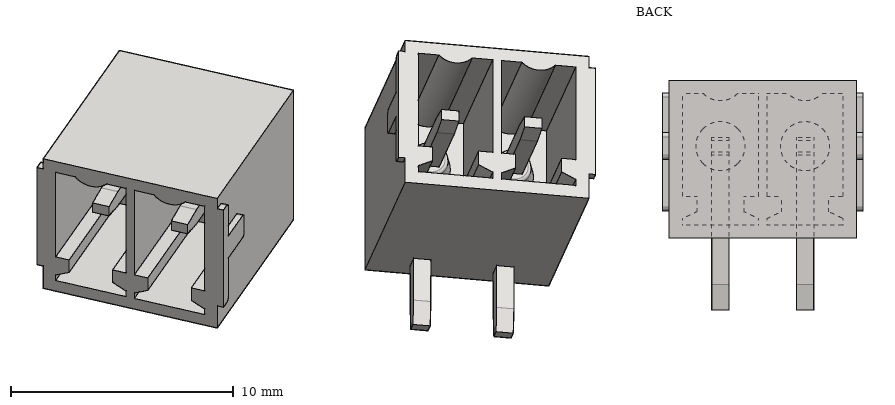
import cadquery as cq

BODY_WIDTH = 8.42
BODY_DEPTH = 9.2
BODY_HEIGHT = 7.08

POLE_COUNT = 2
PITCH = 3.8
AXIS_HEIGHT = 4.13

CAVITY_WIDTH = 3.4
CAVITY_WALL = 0.59
CAVITY_DEPTH = 6.7
ROOF_RIB_WIDTH = 1.53
ROOF_RIB_DROP = 0.32
RAIL_WIDTH = 0.65
RAIL_TOP = 1.29
RAIL_KINK = 0.61
RAIL_FOOT = 0.3

BOSS_BASE_RADIUS = 1.1
BOSS_SHOULDER_RADIUS = 0.83
BOSS_END_RADIUS = 0.67
BOSS_LENGTH = 0.98

FLANGE_THICKNESS = 0.3
FLANGE_TOP_GAP = 0.56
FLANGE_BOTTOM = 1.22
FLANGE_DEPTH = 0.6
TONGUE_DEPTH = 2.5
TONGUE_HEIGHT = 1.2
FLANGE_CORNER_RADIUS = 0.2

PIN_WIDTH = 0.79
PIN_HEIGHT = 0.78
LEG_THICKNESS = 0.82
LEG_BACK_GAP = 0.78
LEG_LENGTH = 3.22
LEG_TIP_THICKNESS = 0.53
LEG_TIP_LENGTH = 1.14
PIN_TIP_HEIGHT = 0.5
PIN_TIP_LENGTH = 1.06
PIN_TIP_SETBACK = 1.2

LEG_BACK = BODY_DEPTH - LEG_BACK_GAP
LEG_FRONT = LEG_BACK - LEG_THICKNESS
PIN_TOP = AXIS_HEIGHT + PIN_HEIGHT / 2
PIN_BOTTOM = AXIS_HEIGHT - PIN_HEIGHT / 2
POLE_POSITIONS = [(i - (POLE_COUNT - 1) / 2) * PITCH for i in range(POLE_COUNT)]


def make_cavity(x):
    """Keyed plug cavity, open at the mating face."""
    half = CAVITY_WIDTH / 2
    neck = half - RAIL_WIDTH
    rib = ROOF_RIB_WIDTH / 2
    floor = CAVITY_WALL
    roof = BODY_HEIGHT - CAVITY_WALL
    return (
        cq.Workplane("XZ")
        .moveTo(x - half, floor)
        .lineTo(x + half, floor)
        .lineTo(x + half, floor + RAIL_FOOT)
        .lineTo(x + neck, floor + RAIL_KINK)
        .lineTo(x + neck, floor + RAIL_TOP)
        .lineTo(x + half, floor + RAIL_TOP)
        .lineTo(x + half, roof)
        .lineTo(x + rib, roof)
        .threePointArc((x, roof - ROOF_RIB_DROP), (x - rib, roof))
        .lineTo(x - half, roof)
        .lineTo(x - half, floor + RAIL_TOP)
        .lineTo(x - neck, floor + RAIL_TOP)
        .lineTo(x - neck, floor + RAIL_KINK)
        .lineTo(x - half, floor + RAIL_FOOT)
        .close()
        .extrude(-CAVITY_DEPTH)
    )


def make_boss(x):
    """Conical boss with a rounded end, turned about the contact axis."""
    rounding = BOSS_SHOULDER_RADIUS - BOSS_END_RADIUS
    end = CAVITY_DEPTH - BOSS_LENGTH
    return (
        cq.Workplane("XY")
        .moveTo(0, CAVITY_DEPTH)
        .lineTo(BOSS_BASE_RADIUS, CAVITY_DEPTH)
        .lineTo(BOSS_SHOULDER_RADIUS, end + rounding)
        .radiusArc((BOSS_END_RADIUS, end), rounding)
        .lineTo(0, end)
        .close()
        .revolve(360, (0, 0), (0, 1))
        .translate((x, 0, AXIS_HEIGHT))
    )


def make_flanges():
    """T-shaped flange standing out from both sides of the block."""
    height = BODY_HEIGHT - FLANGE_TOP_GAP - FLANGE_BOTTOM
    width = BODY_WIDTH + 2 * FLANGE_THICKNESS
    bar = (
        cq.Workplane("XY")
        .box(width, FLANGE_DEPTH, height, centered=(True, False, False))
        .translate((0, 0, FLANGE_BOTTOM))
    )
    tongue = (
        cq.Workplane("XY")
        .box(width, TONGUE_DEPTH, TONGUE_HEIGHT, centered=(True, False, True))
        .translate((0, 0, AXIS_HEIGHT))
    )
    rounded_bar = bar.edges("|X and >Y").fillet(FLANGE_CORNER_RADIUS)
    rounded_tongue = tongue.edges("|X and >Y").fillet(FLANGE_CORNER_RADIUS)
    return rounded_bar.union(rounded_tongue)


def make_pin(x):
    """Right-angle contact pin, tapered at its plug end and at its solder end."""
    plug_taper = (PIN_HEIGHT - PIN_TIP_HEIGHT) / 2
    leg_taper = (LEG_THICKNESS - LEG_TIP_THICKNESS) / 2
    plug_shoulder = PIN_TIP_SETBACK + PIN_TIP_LENGTH
    leg_shoulder = LEG_TIP_LENGTH - LEG_LENGTH
    outline = [
        (PIN_TIP_SETBACK, PIN_TOP - plug_taper),
        (plug_shoulder, PIN_TOP),
        (LEG_BACK, PIN_TOP),
        (LEG_BACK, leg_shoulder),
        (LEG_BACK - leg_taper, -LEG_LENGTH),
        (LEG_FRONT + leg_taper, -LEG_LENGTH),
        (LEG_FRONT, leg_shoulder),
        (LEG_FRONT, PIN_BOTTOM),
        (plug_shoulder, PIN_BOTTOM),
        (PIN_TIP_SETBACK, PIN_BOTTOM + plug_taper),
    ]
    return (
        cq.Workplane("YZ")
        .polyline(outline)
        .close()
        .extrude(PIN_WIDTH / 2, both=True)
        .translate((x, 0, 0))
    )


def make_housing(pins):
    """Block with flanges, cavities and bosses, and a matching channel for each pin."""
    block = cq.Workplane("XY").box(BODY_WIDTH, BODY_DEPTH, BODY_HEIGHT, centered=(True, False, False))
    housing = block.union(make_flanges())
    for x in POLE_POSITIONS:
        housing = housing.cut(make_cavity(x)).union(make_boss(x))
    for pin in pins:
        housing = housing.cut(pin)
    return housing.solids()


contact_pins = [make_pin(x) for x in POLE_POSITIONS]
housing = make_housing(contact_pins)

result = cq.Compound.makeCompound([housing.val(), *[pin.val() for pin in contact_pins]])